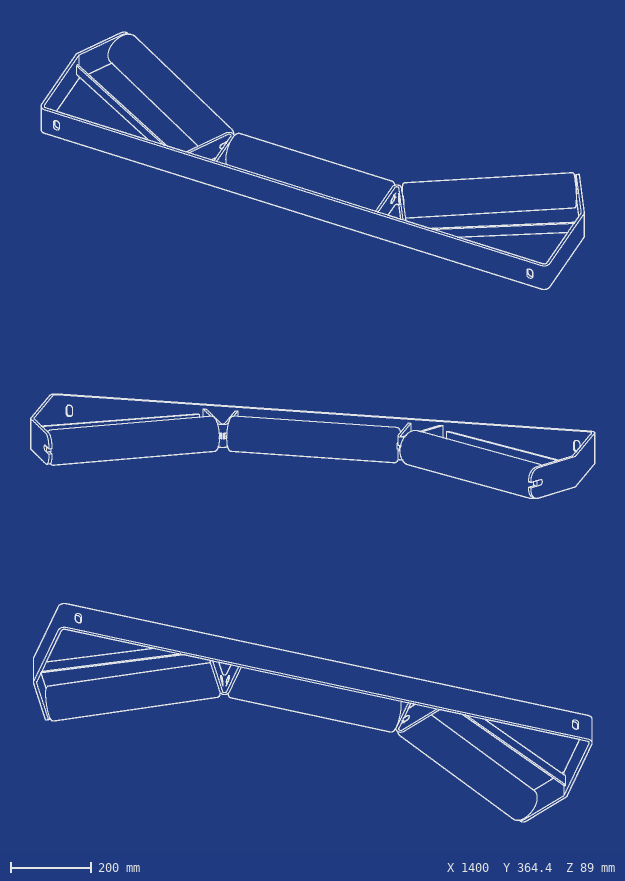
import cadquery as cq
import math


frame_length = 1400.0
strip_width = 80.0
strip_thickness = 8.0
corner_radius = 16.0
upright_height = 221.5
arm_bend_radius = 8.0
arm_length = 161.0
arm_tip_radius = 27.0
trough_angle = 30.0

mount_spacing = 1304.0
mount_width = 16.0
mount_length = 30.0

roller_diameter = 89.0
roller_length = 430.0
roller_edge_radius = 6.0
roller_gap = 4.0
axle_width = 14.0
axle_height = 20.0
center_axis_height = 103.5
wing_axis_to_tip = 31.0

bracket_width = 60.0
bracket_thickness = 7.0
bracket_bend_radius = 12.0

strut_width = 30.0
strut_thickness = 5.0
strut_top_height = 212.0
strut_foot_x = 317.0

half_length = frame_length / 2
half_width = strip_width / 2
carrier_span = roller_length + 2 * roller_gap
axle_length = carrier_span + 2 * strip_thickness
tilt = math.radians(trough_angle)
arm_direction = cq.Vector(math.sin(tilt), math.cos(tilt))
inward = cq.Vector(math.cos(tilt), -math.sin(tilt))
arm_bend = cq.Vector(-half_length, upright_height)
arm_tip = arm_bend + arm_direction * arm_length
wing_axle_end = arm_tip - arm_direction * wing_axis_to_tip
center_axle_end = cq.Vector(-axle_length / 2, center_axis_height)
bracket_inner_x = -carrier_span / 2


def mirrored(body):
    """Copy on the +X side of a body built on the -X side."""
    return body.mirror("YZ")


def plate(outline, width):
    """Extrude an XY outline across Z, centered on the XY plane."""
    return outline.extrude(width / 2, both=True)


def axle_frame(axle_end, direction):
    """Plane at an axle end: local Y points away from the base, the normal runs along the axle."""
    return cq.Plane(origin=axle_end.toTuple(), xDir=(0, 0, -1), normal=direction.toTuple())


def axle_bar(plane):
    """Axle with flat sides, a flat top and a round bottom, running through both carrying plates."""
    side = axle_width / 2
    top = axle_height / 2
    arc_start = side - top
    return (
        cq.Workplane(plane)
        .moveTo(-side, top)
        .lineTo(-side, arc_start)
        .threePointArc((0, -top), (side, arc_start))
        .lineTo(side, top)
        .close()
        .extrude(axle_length)
    )


def axle_slot(plane, start, depth):
    """Open-topped slot whose bottom fits the axle; depth runs along the axle from start."""
    above = (
        cq.Workplane(plane)
        .workplane(offset=start)
        .center(0, roller_diameter / 2)
        .rect(axle_width, roller_diameter)
        .extrude(depth)
    )
    return above.union(axle_bar(plane))


def make_roller(plane):
    """Round-edged roller on its axle; the plane sits at the outer end of the axle."""
    shell = (
        cq.Workplane(plane)
        .workplane(offset=strip_thickness + roller_gap)
        .circle(roller_diameter / 2)
        .extrude(roller_length)
        .edges()
        .fillet(roller_edge_radius)
    )
    return shell.union(axle_bar(plane))


center_plane = axle_frame(center_axle_end, cq.Vector(1, 0, 0))
wing_plane = axle_frame(wing_axle_end, inward)


def fillet_corners(frame, corner, radius):
    """Round the edge along Z at an XY corner and at its mirror image."""
    x, y = corner
    for mirrored_x in (x, -x):
        nearest = cq.selectors.NearestToPointSelector((mirrored_x, y, 0))
        frame = frame.edges("|Z").edges(nearest).fillet(radius)
    return frame


def make_frame():
    """Base strip folded up at both ends into uprights and leaning arms with slotted tips."""
    outer_corner = (-half_length, 0)
    inner_corner = (-half_length + strip_thickness, strip_thickness)
    tip_inside = arm_tip + inward * strip_thickness
    bend_inside = cq.Vector(
        -half_length + strip_thickness,
        upright_height - strip_thickness * math.tan(tilt / 2),
    )
    left = [
        outer_corner,
        (arm_bend.x, arm_bend.y),
        (arm_tip.x, arm_tip.y),
        (tip_inside.x, tip_inside.y),
        (bend_inside.x, bend_inside.y),
        inner_corner,
    ]
    right = [(-x, y) for x, y in reversed(left)]
    frame = plate(cq.Workplane("XY").polyline(left + right).close(), strip_width)

    frame = fillet_corners(frame, outer_corner, corner_radius)
    frame = fillet_corners(frame, inner_corner, corner_radius - strip_thickness)
    frame = fillet_corners(frame, (arm_bend.x, arm_bend.y), arm_bend_radius)

    tip_middle = (arm_tip + tip_inside) * 0.5
    for side in (-1, 1):
        for z in (-half_width, half_width):
            corner = cq.selectors.NearestToPointSelector((side * tip_middle.x, tip_middle.y, z))
            frame = frame.edges(corner).fillet(arm_tip_radius)

    slot = axle_slot(wing_plane, 0, strip_thickness)
    mounts = (
        cq.Workplane("XZ")
        .pushPoints([(-mount_spacing / 2, 0), (mount_spacing / 2, 0)])
        .slot2D(mount_length, mount_width, 90)
        .extrude(-strip_thickness)
    )
    return frame.cut(slot).cut(mirrored(slot)).cut(mounts)


def make_bracket():
    """Folded plate: a leaning leg for the wing roller and an upright leg for the center roller."""
    lean_face = wing_axle_end + inward * (strip_thickness + carrier_span)

    def wedge(inset):
        """Outline under both outer faces, moved inwards by inset, with the fold rounded."""
        upright_x = bracket_inner_x - inset
        face = lean_face + inward * inset
        apex_y = face.y + (upright_x - face.x) / math.tan(tilt)
        foot_x = face.x - (face.y - strip_thickness) * math.tan(tilt)
        outline = (
            cq.Workplane("XY")
            .moveTo(foot_x, strip_thickness)
            .lineTo(upright_x, apex_y)
            .lineTo(upright_x, strip_thickness)
            .close()
        )
        return plate(outline, bracket_width).edges("|Z").edges(">Y").fillet(bracket_bend_radius - inset)

    bracket = wedge(0).cut(wedge(bracket_thickness))
    wing_slot = axle_slot(wing_plane, strip_thickness + carrier_span, bracket_thickness)
    center_slot = axle_slot(center_plane, strip_thickness - bracket_thickness, bracket_thickness)
    return bracket.cut(wing_slot).cut(center_slot)


def make_strut():
    """Flat brace from the upright down to the base."""
    wall_x = -half_length + strip_thickness
    run = -strut_foot_x - wall_x
    rise = strut_top_height - strip_thickness
    slant = math.hypot(run, rise)
    outline = (
        cq.Workplane("XY")
        .moveTo(wall_x, strut_top_height)
        .lineTo(-strut_foot_x, strip_thickness)
        .lineTo(-strut_foot_x - strut_thickness * slant / rise, strip_thickness)
        .lineTo(wall_x, strut_top_height - strut_thickness * slant / run)
        .close()
    )
    return plate(outline, strut_width)


frame = make_frame()
left_bracket = make_bracket()
left_strut = make_strut()
center_roller = make_roller(center_plane)
left_roller = make_roller(wing_plane)

bodies = [frame.val(), center_roller.val()]
for body in (left_bracket, left_strut, left_roller):
    bodies.append(body.val())
    bodies.append(mirrored(body).val())

result = cq.Compound.makeCompound(bodies)